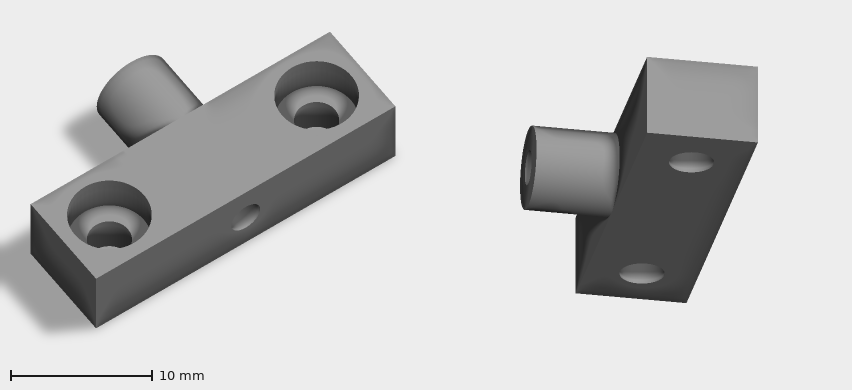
import cadquery as cq

bar_width = 8.0
bar_length = 26.0
bar_height = 6.0

stub_diameter = bar_height
stub_length = 6.0
stub_bore_diameter = 2.5

screw_spacing = 18.0
screw_hole_diameter = 3.2
counterbore_diameter = 6.0
counterbore_depth = 3.0


def make_bar():
    return cq.Workplane("XY").box(bar_width, bar_length, bar_height)


def add_stub(body):
    return (
        body.faces("<X")
        .workplane(centerOption="CenterOfBoundBox")
        .circle(stub_diameter / 2)
        .extrude(stub_length)
    )


def cut_stub_bore(body):
    """Bore along X through the stub and the full width of the bar."""
    bore_length = stub_length + bar_width
    bore = (
        cq.Workplane("YZ", origin=(-bar_width / 2 - stub_length, 0, 0))
        .circle(stub_bore_diameter / 2)
        .extrude(bore_length)
    )
    return body.cut(bore)


def cut_screw_holes(body):
    """Vertical through holes, counterbored from the top face."""
    return (
        body.copyWorkplane(cq.Workplane("XY", origin=(0, 0, bar_height / 2)))
        .pushPoints([(0, -screw_spacing / 2), (0, screw_spacing / 2)])
        .cboreHole(screw_hole_diameter, counterbore_diameter, counterbore_depth)
    )


result = cut_screw_holes(cut_stub_bore(add_stub(make_bar())))